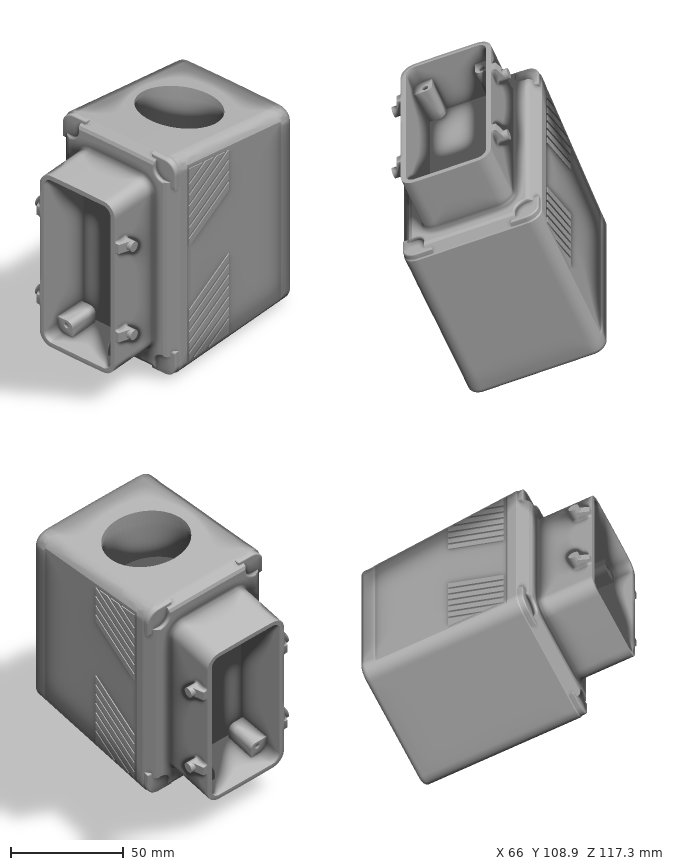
import cadquery as cq
import math


PICK_MARGIN = 0.1

WIDTH = 66.0
HEIGHT = 117.3
LENGTH = 108.9
TOP_SLOPE = 10.0
BODY_FRONT_Y = 31.9
BODY_RADIUS = 6.8
BACK_FILLET = 2.3
CROWN = 0.4
BACK_HEIGHT = HEIGHT - (LENGTH - BODY_FRONT_Y) * math.tan(math.radians(TOP_SLOPE))

RIM = 0.6
SHOULDER_INSET = 0.5
CHAMFER_SIDE_INSET = 4.2
CHAMFER_END_INSET = 3.0
CHAMFER_FRONT_Y = 27.5
NOSE_SIDE_INSET = 6.0
NOSE_END_INSET = 4.6
NOSE_FRONT_Y = 26.7

PAD_SIZE = 11.3
PAD_RADIUS = 5.3
NOTCH_FILLET = 0.8
PAD_FRONT_Y = 28.7
PAD_EDGE_FILLET = 0.7
TAB_REACH = 14.4
TAB_TIP_FILLET = 1.0
TAB_WIDTH = 2.8

COLLAR_WIDTH = 43.2
COLLAR_BOTTOM = 11.7
COLLAR_TOP = 104.7
COLLAR_RADIUS = 6.8
COLLAR_FILLET = 1.3
WALL = 2.5
POCKET_RADIUS = 4.2
POCKET_DEPTH = 26.1
POCKET_SIDE_DRAFT = 0.9
COLLAR_MID_Z = (COLLAR_BOTTOM + COLLAR_TOP) / 2
POCKET_WIDTH = COLLAR_WIDTH - 2 * WALL
POCKET_HEIGHT = 88.0

POST_FRONT_Y = 8.9
POST_BACK_Y = 24.9
POST_INNER_X = 10.2
POST_HEIGHT = 7.9
POST_RADIUS = 2.9
SCREW_DIAMETER = 2.8
SCREW_X = 13.6
SCREW_Z_SPACING = 77.5

PEG_RADIUS = 2.5
PEG_FRONT_Y = 0.2
PEG_Y = 6.3
PEG_TIP_X = 27.5
PEG_SPACING = 47.8
GUSSET_TALL_X = 25.9
GUSSET_SHORT_X = 23.7
PEG_FILLET = 1.0

ENTRY_DIAMETER = 40.1
ENTRY_DEPTH = 26.1
ENTRY_Y = 70.6

RECESS_DEPTH = 0.5
RECESS_FRONT_Y = 36.1
RECESS_BACK_Y = 102.1
RECESS_RUNOUT = 0.8
RIB_FRONT_Y = 38.0
RIB_BACK_Y = 65.3
RIB_BOTTOM_Z = 5.7
RIB_TOP_MARGIN = 6.6
RIB_ANGLE = 30.0
RIB_HEIGHT = 4.1
RIB_PITCH = 5.9
RIB_COUNT = 7
UPPER_RIBS_Z = 83.5
LOWER_RIBS_Z = 48.8


def outline(y, width, bottom, top, radius, bottom_crown=0.0):
    """Rounded rectangle at depth y whose top, and optionally bottom, bulges slightly."""
    half = width / 2
    side_top = top - CROWN
    side_bottom = bottom + bottom_crown
    edges = [
        cq.Edge.makeLine(cq.Vector(half, y, side_bottom), cq.Vector(half, y, side_top)),
        cq.Edge.makeThreePointArc(
            cq.Vector(half, y, side_top), cq.Vector(0, y, top), cq.Vector(-half, y, side_top)
        ),
        cq.Edge.makeLine(cq.Vector(-half, y, side_top), cq.Vector(-half, y, side_bottom)),
    ]
    if bottom_crown:
        edges.append(
            cq.Edge.makeThreePointArc(
                cq.Vector(-half, y, side_bottom), cq.Vector(0, y, bottom), cq.Vector(half, y, side_bottom)
            )
        )
    else:
        edges.append(cq.Edge.makeLine(cq.Vector(-half, y, bottom), cq.Vector(half, y, bottom)))
    wire = cq.Wire.assembleEdges(edges)
    return wire.fillet2D(radius, wire.Vertices())


def inset_outline(y, side, end, bottom_crown=0.0):
    """Body outline at depth y, pulled in at the sides and at both ends."""
    return outline(y, WIDTH - 2 * side, end, HEIGHT - end, BODY_RADIUS - end, bottom_crown)


def loft(first, second):
    return cq.Workplane(obj=cq.Solid.makeLoft([first, second], True))


def box(x_range, y_range, z_range):
    size = [high - low for low, high in (x_range, y_range, z_range)]
    corner = (x_range[0], y_range[0], z_range[0])
    return cq.Workplane("XY").box(*size, centered=False).translate(corner)


def mirrored(half):
    """Add the mirror image on the other side of the X = 0 plane."""
    return half.union(half.mirror("YZ"))


def top_height(y):
    return HEIGHT - (y - BODY_FRONT_Y) * math.tan(math.radians(TOP_SLOPE))


def make_body():
    front = outline(BODY_FRONT_Y, WIDTH, 0, HEIGHT, BODY_RADIUS)
    back = outline(LENGTH, WIDTH, 0, BACK_HEIGHT, BODY_RADIUS)
    return loft(front, back).faces(">Y").edges().fillet(BACK_FILLET)


def make_nose():
    """Tapering step from the body to the collar, notched at the corners."""
    sections = [
        inset_outline(BODY_FRONT_Y, 0, 0),
        inset_outline(BODY_FRONT_Y - RIM, SHOULDER_INSET, SHOULDER_INSET),
        inset_outline(CHAMFER_FRONT_Y, CHAMFER_SIDE_INSET, CHAMFER_END_INSET),
        inset_outline(NOSE_FRONT_Y, NOSE_SIDE_INSET, NOSE_END_INSET, CROWN),
    ]
    nose = loft(sections[0], sections[1])
    for first, second in zip(sections[1:], sections[2:]):
        nose = nose.union(loft(first, second))
    nose = nose.cut(corner_pieces(0, PAD_FRONT_Y, False))
    for side in (-1, 1):
        for z in (PAD_SIZE, HEIGHT - CROWN - PAD_SIZE):
            x = side * (WIDTH / 2 - PAD_SIZE)
            arc = cq.selectors.BoxSelector(
                (x - PICK_MARGIN, NOSE_FRONT_Y - PICK_MARGIN, z - PAD_RADIUS),
                (x + side * PAD_RADIUS, NOSE_FRONT_Y + PICK_MARGIN, z + PAD_RADIUS),
            )
            nose = nose.edges(arc).fillet(NOTCH_FILLET)
    return nose


def corner_pieces(front_y, back_y, with_tabs):
    """Four corner blocks with a rounded inner corner, with or without edge tabs."""
    depth = (front_y, back_y)
    right = WIDTH / 2
    block = box((right - PAD_SIZE, right), depth, (0, PAD_SIZE))
    block = block.edges("<X and >Z").fillet(PAD_RADIUS)
    if with_tabs:
        end_tab = box((right - TAB_REACH, right), depth, (0, TAB_WIDTH))
        side_tab = box((right - TAB_WIDTH, right), depth, (0, TAB_REACH))
        block = block.union(end_tab.edges("<X and <Y").fillet(TAB_TIP_FILLET))
        block = block.union(side_tab.edges(">Z and <Y").fillet(TAB_TIP_FILLET))
    upper = block.mirror("XY").translate((0, 0, HEIGHT - CROWN))
    return mirrored(block.union(upper))


def make_pads():
    """Round-edged pads that follow the body outline at its four corners."""
    envelope = loft(
        inset_outline(PAD_FRONT_Y, SHOULDER_INSET, SHOULDER_INSET),
        inset_outline(BODY_FRONT_Y, SHOULDER_INSET, SHOULDER_INSET),
    )
    envelope = envelope.faces("<Y").edges().fillet(PAD_EDGE_FILLET)
    return envelope.intersect(corner_pieces(PAD_FRONT_Y, BODY_FRONT_Y, True))


def make_collar():
    ends = [
        outline(y, COLLAR_WIDTH, COLLAR_BOTTOM, COLLAR_TOP, COLLAR_RADIUS, CROWN)
        for y in (0, BODY_FRONT_Y)
    ]
    return loft(*ends)


def fillet_collar_root(hood):
    """Blend the collar into the flat front of the nose."""
    reach = COLLAR_WIDTH / 2 + PICK_MARGIN
    root_edges = cq.selectors.BoxSelector(
        (-reach, NOSE_FRONT_Y - PICK_MARGIN, COLLAR_BOTTOM - PICK_MARGIN),
        (reach, NOSE_FRONT_Y + PICK_MARGIN, COLLAR_TOP + PICK_MARGIN),
    )
    return hood.edges(root_edges).fillet(COLLAR_FILLET)


def make_peg(z):
    """Bar with a round nose and a sloping outer face, ending in a round peg."""
    wall_x = COLLAR_WIDTH / 2
    root_x = wall_x - WALL / 2
    bar = (
        cq.Workplane("XY", origin=(0, 0, z - PEG_RADIUS))
        .polyline([
            (root_x, PEG_FRONT_Y),
            (GUSSET_SHORT_X, PEG_FRONT_Y),
            (GUSSET_TALL_X, PEG_Y),
            (root_x, PEG_Y),
        ])
        .close()
        .extrude(2 * PEG_RADIUS)
    )
    pin = (
        cq.Workplane("YZ", origin=(root_x, PEG_Y, z))
        .circle(PEG_RADIUS)
        .extrude(PEG_TIP_X - root_x)
    )
    return bar.union(pin)


def add_pegs(hood):
    """Put two pegs on each side of the collar and fillet their roots."""
    wall_x = COLLAR_WIDTH / 2
    for z in (COLLAR_MID_Z - PEG_SPACING / 2, COLLAR_MID_Z + PEG_SPACING / 2):
        hood = hood.union(mirrored(make_peg(z)))
        for side in (-1, 1):
            root_edges = cq.selectors.BoxSelector(
                (side * (wall_x - WALL / 2), PEG_FILLET, z - 2 * PEG_RADIUS),
                (side * (wall_x + PEG_FILLET), PEG_Y + 2 * PEG_RADIUS, z + 2 * PEG_RADIUS),
            )
            hood = hood.edges(root_edges).fillet(PEG_FILLET)
    return hood


def pocket_section(y, width):
    """Rounded rectangle at depth y."""
    corners = cq.Wire.makePolygon(
        [
            cq.Vector(side * width / 2, y, COLLAR_MID_Z + end * POCKET_HEIGHT / 2)
            for side, end in ((-1, -1), (1, -1), (1, 1), (-1, 1))
        ],
        close=True,
    )
    return corners.fillet2D(POCKET_RADIUS, corners.Vertices())


def make_pocket():
    """Rounded rectangular pocket whose two long sides lean inward toward the floor."""
    mouth = pocket_section(0, POCKET_WIDTH)
    return loft(mouth, pocket_section(POCKET_DEPTH, POCKET_WIDTH - 2 * POCKET_SIDE_DRAFT))


def make_posts():
    """Bored posts along the pocket corners, ending a little short of the floor."""
    depth = (POST_FRONT_Y, POST_BACK_Y)
    outer_x = POCKET_WIDTH / 2
    floor_z = COLLAR_MID_Z - POCKET_HEIGHT / 2
    post = box((POST_INNER_X, outer_x), depth, (floor_z, floor_z + POST_HEIGHT))
    post = post.edges("<X and >Z").fillet(POST_RADIUS)
    upper = post.mirror("XY").translate((0, 0, 2 * COLLAR_MID_Z))
    screws = (
        cq.Workplane("XZ", origin=(0, 0, COLLAR_MID_Z))
        .rect(2 * SCREW_X, SCREW_Z_SPACING, forConstruction=True)
        .vertices()
        .circle(SCREW_DIAMETER / 2)
        .extrude(-POCKET_DEPTH)
    )
    return mirrored(post.union(upper)).cut(screws)


def make_entry():
    slope = math.radians(TOP_SLOPE)
    axis = (0, math.sin(slope), math.cos(slope))
    plane = cq.Plane(origin=(0, ENTRY_Y, top_height(ENTRY_Y)), xDir=(1, 0, 0), normal=axis)
    return cq.Workplane(plane).circle(ENTRY_DIAMETER / 2).extrude(ENTRY_DEPTH, both=True)


def rib_profile(lower_z, height):
    """Slanted stripe whose lower back corner is at lower_z, rising toward the back."""
    drop = (RIB_BACK_Y - RIB_FRONT_Y) * math.tan(math.radians(RIB_ANGLE))
    return [
        (RIB_BACK_Y, lower_z),
        (RIB_BACK_Y, lower_z + height),
        (RIB_FRONT_Y, lower_z + height - drop),
        (RIB_FRONT_Y, lower_z - drop),
    ]


def make_ribs():
    field = [
        (RIB_FRONT_Y, RIB_BOTTOM_Z),
        (RIB_BACK_Y, RIB_BOTTOM_Z),
        (RIB_BACK_Y, top_height(RIB_BACK_Y) - RIB_TOP_MARGIN),
        (RIB_FRONT_Y, top_height(RIB_FRONT_Y) - RIB_TOP_MARGIN),
    ]
    outer_x = WIDTH / 2
    inner_x = outer_x - 2 * RECESS_DEPTH
    stripes = cq.Workplane("YZ")
    for index in range(RIB_COUNT):
        height = RIB_HEIGHT if index < RIB_COUNT - 1 else RIB_HEIGHT + RIB_PITCH
        shift = index * RIB_PITCH
        stripes = stripes.polyline(rib_profile(UPPER_RIBS_Z + shift, height)).close()
        stripes = stripes.polyline(rib_profile(LOWER_RIBS_Z - shift - height, height)).close()
    wall = cq.Workplane("YZ", origin=(inner_x, 0, 0)).polyline(field).close().extrude(outer_x - inner_x)
    return mirrored(wall.intersect(stripes.extrude(WIDTH)))


def make_recesses():
    outer_x = WIDTH / 2
    floor_x = outer_x - RECESS_DEPTH
    slab = (
        cq.Workplane("XY")
        .polyline([
            (outer_x, RECESS_FRONT_Y),
            (floor_x, RECESS_FRONT_Y + RECESS_RUNOUT),
            (floor_x, RECESS_BACK_Y - RECESS_RUNOUT),
            (outer_x, RECESS_BACK_Y),
        ])
        .close()
        .extrude(HEIGHT)
    )
    return mirrored(slab)


hood = make_body().cut(make_recesses()).union(make_ribs()).cut(make_entry())
nose = make_nose().union(make_pads())
hood = hood.union(nose).union(make_collar())
hood = fillet_collar_root(hood)
hood = add_pegs(hood)
result = hood.cut(make_pocket()).union(make_posts())